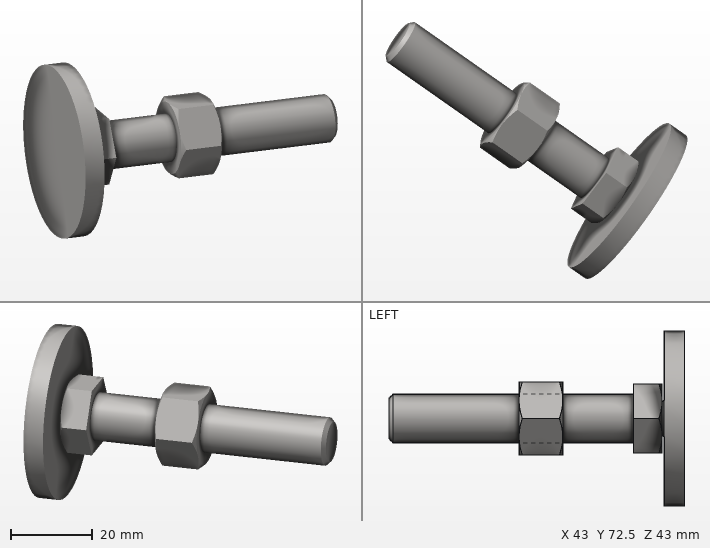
import cadquery as cq
import math

overall_length = 72.5

foot_diameter = 43.0
foot_thickness = 5.0
neck_gap = 0.5

stud_diameter = 11.95
stud_end_chamfer = 1.0
neck_head_diameter = 8.35
neck_foot_diameter = 8.9
head_across_flats = 17.0
head_height = 7.0

nut_across_flats = 18.0
nut_height = 10.7
nut_start = 29.9

hex_chamfer_angle = 30.0

head_start = foot_thickness + neck_gap
head_end = head_start + head_height


def cylinder(diameter, start, end):
    """Round bar along +Y between two Y positions."""
    return cq.Workplane("XZ", origin=(0, start, 0)).circle(diameter / 2).extrude(start - end)


def chamfer_envelope(across_flats, start, height, chamfer_far_end):
    """Revolved shape that bevels hexagon corners, leaving a round face as wide as the flats."""
    face_radius = across_flats / 2
    corner_radius = face_radius / math.cos(math.pi / 6)
    outer_radius = corner_radius * 1.1
    bevel = (outer_radius - face_radius) * math.tan(math.radians(hex_chamfer_angle))
    end = start + height
    profile = cq.Workplane("XY").moveTo(0, start).lineTo(face_radius, start)
    profile = profile.lineTo(outer_radius, start + bevel)
    if chamfer_far_end:
        profile = profile.lineTo(outer_radius, end - bevel).lineTo(face_radius, end)
    else:
        profile = profile.lineTo(outer_radius, end)
    return profile.lineTo(0, end).close().revolve(360, (0, 0, 0), (0, 1, 0))


def hexagon(across_flats, start, height, chamfer_far_end):
    """Bevelled hexagonal prism along +Y with two corners on the X axis."""
    across_corners = across_flats / math.cos(math.pi / 6)
    prism = cq.Workplane("XZ", origin=(0, start, 0)).polygon(6, across_corners).extrude(-height)
    return prism.intersect(chamfer_envelope(across_flats, start, height, chamfer_far_end))


def make_foot():
    """Plain round foot plate."""
    return cylinder(foot_diameter, 0, foot_thickness)


def make_stud():
    """Stud with a chamfered tip, a hexagonal head and a short tapered neck resting on the foot."""
    shank = cylinder(stud_diameter, head_end, overall_length).faces(">Y").chamfer(stud_end_chamfer)
    head = hexagon(head_across_flats, head_start, head_height, chamfer_far_end=False)
    neck = (
        cq.Workplane("XZ", origin=(0, foot_thickness, 0))
        .circle(neck_foot_diameter / 2)
        .workplane(offset=-neck_gap)
        .circle(neck_head_diameter / 2)
        .loft(ruled=True)
    )
    return shank.union(head).union(neck)


def make_nut():
    """Lock nut bevelled at both ends, bored to fit the stud."""
    blank = hexagon(nut_across_flats, nut_start, nut_height, chamfer_far_end=True)
    return blank.cut(cylinder(stud_diameter, nut_start, nut_start + nut_height))


foot = make_foot()
stud = make_stud()
nut = make_nut()

result = cq.Compound.makeCompound([foot.val(), stud.val(), nut.val()])